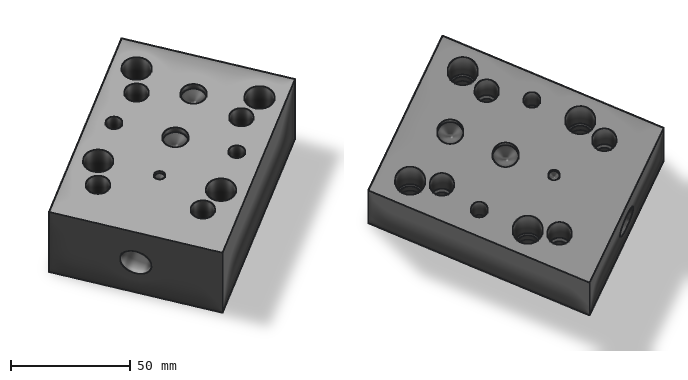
import cadquery as cq
import math

width, length, height = 76.2, 101.6, 38.1

drill_point_angle = 118.0

tapped_pitch = 54.0
tapped_centre_y = 9.5
thread_diameter, thread_depth = 12.7, 20.3
tap_diameter, tap_depth = 10.8, 25.4

bolt_pitch_x, bolt_pitch_y = 46.0, tapped_pitch
bolt_centre_y = -3.3
bolt_diameter = 7.1
counterbore_diameter, counterbore_depth = 10.3, 18.3

passage_diameter, passage_depth = 11.1, 3.0
passage_pitch = 25.4
middle_y = 4.8
side_diameter, side_depth = 7.1, 15.2
pin_diameter, pin_depth = 4.8, 1.5

port_z = height / 2
port_diameter, port_depth = 13.8, 15.2
port_drill_diameter, port_drill_depth = 10.8, 20.3


def drilled_hole(diameter, depth):
    """Blind hole along -Z from the origin, ending in a conical drill point."""
    radius = diameter / 2
    point_length = radius / math.tan(math.radians(drill_point_angle / 2))
    profile = [(0, 0), (radius, 0), (radius, -depth), (0, -depth - point_length)]
    return cq.Workplane("XZ").polyline(profile).close().revolve(360, (0, 0), (0, 1))


def bore(diameter, depth):
    """Flat-bottomed hole along -Z from the origin."""
    return cq.Workplane("XY").circle(diameter / 2).extrude(-depth)


def rectangle_corners(pitch_x, pitch_y, centre_y):
    return [(i * pitch_x / 2, centre_y + j * pitch_y / 2) for i in (-1, 1) for j in (-1, 1)]


def cut_from_top(body, cutter, points):
    for x, y in points:
        body = body.cut(cutter.translate((x, y, height)))
    return body


result = cq.Workplane("XY").box(width, length, height, centered=(True, True, False))

tapped_hole = bore(thread_diameter, thread_depth).union(drilled_hole(tap_diameter, tap_depth))
tapped_points = rectangle_corners(tapped_pitch, tapped_pitch, tapped_centre_y)
result = cut_from_top(result, tapped_hole, tapped_points)

bolt_hole = bore(bolt_diameter, height).union(bore(counterbore_diameter, counterbore_depth))
bolt_points = rectangle_corners(bolt_pitch_x, bolt_pitch_y, bolt_centre_y)
result = cut_from_top(result, bolt_hole, bolt_points)

passage = drilled_hole(passage_diameter, passage_depth)
result = cut_from_top(result, passage, [(0, middle_y), (0, middle_y + passage_pitch)])

side_hole = drilled_hole(side_diameter, side_depth)
side_points = [(-tapped_pitch / 2, middle_y), (tapped_pitch / 2, middle_y)]
result = cut_from_top(result, side_hole, side_points)

pin_hole = drilled_hole(pin_diameter, pin_depth)
pin_y = tapped_centre_y - tapped_pitch / 2
result = cut_from_top(result, pin_hole, [(0, pin_y)])

port = bore(port_diameter, port_depth).union(drilled_hole(port_drill_diameter, port_drill_depth))
port = port.rotate((0, 0, 0), (1, 0, 0), 90).translate((0, -length / 2, port_z))
result = result.cut(port)